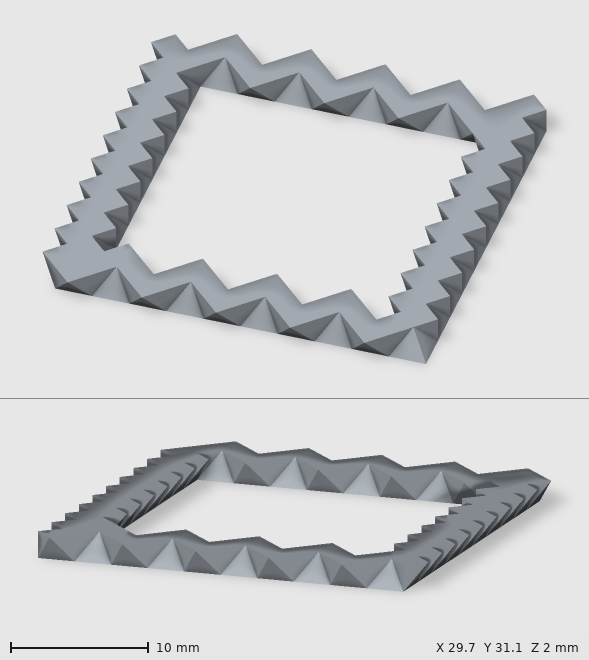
import cadquery as cq
import math

HEIGHT = 2.0
EDGE = HEIGHT * math.sqrt(2)
CELLS = 10
LAST = CELLS - 1


def low_node(column, row):
    """Grid node on the bottom plane."""
    return cq.Vector(column * EDGE, row * EDGE, 0)


def high_node(column, row):
    """Node on the top plane, above the centre of a grid cell."""
    return cq.Vector((column + 0.5) * EDGE, (row + 0.5) * EDGE, HEIGHT)


def polyhedron(faces):
    """Solid bounded by flat faces, each given as its corner points."""
    flat_faces = [cq.Face.makeFromWires(cq.Wire.makePolygon(corners, close=True)) for corners in faces]
    return cq.Solid.makeSolid(cq.Shell.makeShell(flat_faces))


def pyramid(column, row):
    """Square pyramid filling the base of one grid cell, with its apex on the top plane."""
    base = [
        low_node(column, row),
        low_node(column + 1, row),
        low_node(column + 1, row + 1),
        low_node(column, row + 1),
    ]
    apex = high_node(column, row)
    sides = [[base[i - 1], base[i], apex] for i in range(len(base))]
    return polyhedron([base] + sides)


def wedge(low_start, low_end, high_start, high_end):
    """Block with a flat square top that tapers down to one edge on the bottom plane.

    The top square has one diagonal directly above the bottom edge and the other between the high nodes.
    """
    rise = cq.Vector(0, 0, HEIGHT)
    top_start = low_start + rise
    top_end = low_end + rise
    faces = [[top_start, high_start, top_end, high_end]]
    for high in (high_start, high_end):
        faces.append([low_start, low_end, high])
        faces.append([low_start, top_start, high])
        faces.append([low_end, top_end, high])
    return polyhedron(faces)


def wedge_along_x(column, row):
    """Wedge whose bottom edge is the -Y side of a grid cell."""
    return wedge(
        low_node(column, row),
        low_node(column + 1, row),
        high_node(column, row - 1),
        high_node(column, row),
    )


def wedge_along_y(column, row):
    """Wedge whose bottom edge is the -X side of a grid cell."""
    return wedge(
        low_node(column, row),
        low_node(column, row + 1),
        high_node(column - 1, row),
        high_node(column, row),
    )


def ring_pyramids():
    """One pyramid on every cell around the border of the grid."""
    border = (0, LAST)
    cells = [(i, j) for i in range(CELLS) for j in range(CELLS) if i in border or j in border]
    return [pyramid(column, row) for column, row in cells]


def bridges():
    """Wedges filling the gaps between neighbouring pyramids of the ring."""
    solids = []
    for side in (0, LAST):
        for step in range(1, CELLS):
            solids.append(wedge_along_y(step, side))
            solids.append(wedge_along_x(side, step))
    return solids


def x_side_teeth():
    """Teeth pointing to -X: outside the -X side and inside the +X side of the ring."""
    outer = [wedge_along_y(0, row) for row in range(CELLS)]
    inner = [wedge_along_y(LAST, row) for row in range(1, LAST)]
    return outer + inner


def y_side_teeth():
    """Teeth alternating between the outside and inside of the -Y and +Y sides of the ring."""
    solids = []
    for column in range(0, CELLS, 2):
        solids.append(wedge_along_x(column, 0))
    for column in range(1, CELLS, 2):
        solids.append(wedge_along_x(column, CELLS))
    for column in range(1, LAST, 2):
        solids.append(wedge_along_x(column, 1))
    for column in range(2, LAST, 2):
        solids.append(wedge_along_x(column, LAST))
    return solids


pieces = ring_pyramids() + bridges() + x_side_teeth() + y_side_teeth()
result = cq.Workplane(pieces[0].fuse(*pieces[1:]).clean().Solids()[0])